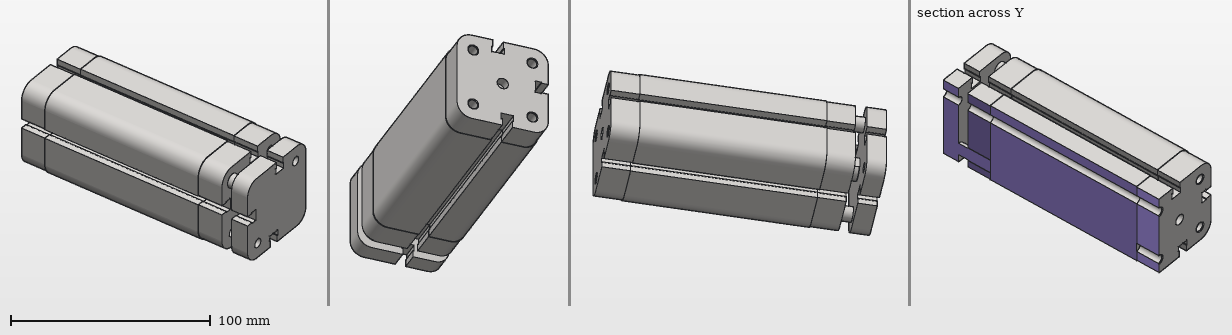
import cadquery as cq

TOTAL_LENGTH = 140.5
CAP_LENGTH = 14.6
PLATE_THICKNESS = 10.0
PLATE_GAP = 5.9

PLATE_X = TOTAL_LENGTH - PLATE_THICKNESS
FRONT_END_X = PLATE_X - PLATE_GAP
FRONT_CAP_X = FRONT_END_X - CAP_LENGTH
BARREL_LENGTH = FRONT_CAP_X - CAP_LENGTH

BARREL_SIDE = 50.0
CORNER_RADIUS = 8.0
END_INSET = 0.3
END_SIDE = BARREL_SIDE - 2 * END_INSET
PLATE_CORNER_RADIUS = 7.6

SLOT_OFFSET = 2.5
SLOT_MOUTH_WIDTH = 5.3
SLOT_INNER_WIDTH = 6.5
SLOT_LIP_DEPTH = 4.1
SLOT_DEPTH = 7.2
END_SLOT_CLEARANCE = 0.1
SLOT_TURNS = (0, 90, 180)

HOLE_SPACING = 32.0
HOLE_DIAMETER = 5.0
HOLE_CHAMFER = 0.4
CENTER_HOLE_DIAMETER = 6.0
CENTER_HOLE_DEPTH = 5.6
GUIDE_ROD_DIAMETER = 8.0
PISTON_ROD_DIAMETER = 12.0
FLAT_DISTANCE = 10.0
FLAT_START = 0.7
ROD_END_CHAMFER = 0.3

HALF_SPACING = HOLE_SPACING / 2
THROUGH_CORNERS = [(HALF_SPACING, HALF_SPACING), (-HALF_SPACING, -HALF_SPACING)]
ROD_CORNERS = [(-HALF_SPACING, HALF_SPACING), (HALF_SPACING, -HALF_SPACING)]
CENTER = [(0, 0)]


def cylinders(start_x, length, diameter, places):
    """Cylinders along +X, one at each (y, z) place."""
    plane = cq.Workplane("YZ", origin=(start_x, 0, 0))
    return plane.pushPoints(places).circle(diameter / 2).extrude(length)


def slot_cutter(clearance):
    """One T-slot in the +Z face, running the whole length."""
    face_z = BARREL_SIDE / 2
    lip_z = face_z - SLOT_LIP_DEPTH
    floor_z = face_z - SLOT_DEPTH - clearance
    mouth_width = SLOT_MOUTH_WIDTH + 2 * clearance
    inner_width = SLOT_INNER_WIDTH + 2 * clearance
    centered_in_y = (False, True, False)
    slot = cq.Workplane("XY", origin=(0, SLOT_OFFSET, floor_z))
    mouth = slot.box(TOTAL_LENGTH, mouth_width, face_z - floor_z, centered=centered_in_y)
    undercut = slot.box(TOTAL_LENGTH, inner_width, lip_z - floor_z, centered=centered_in_y)
    return mouth.union(undercut)


def slotted_block(start_x, length, side, corner_radius, slot_clearance):
    """A rounded square block with the three T-slots and the two through holes."""
    block = cq.Workplane("YZ", origin=(start_x, 0, 0)).rect(side, side).extrude(length)
    block = block.edges("|X").fillet(corner_radius)
    slot = slot_cutter(slot_clearance)
    for turn in SLOT_TURNS:
        block = block.cut(slot.rotate((0, 0, 0), (1, 0, 0), turn))
    return block.cut(cylinders(start_x, length, HOLE_DIAMETER, THROUGH_CORNERS))


def make_end_cap(start_x):
    """The block that both caps are made from."""
    return slotted_block(start_x, CAP_LENGTH, END_SIDE, CORNER_RADIUS, END_SLOT_CLEARANCE)


def make_rear_cap():
    """The rear cap, with four chamfered corner holes and a blind hole in the middle."""
    cap = make_end_cap(0)
    cap = cap.cut(cylinders(0, CAP_LENGTH, HOLE_DIAMETER, ROD_CORNERS))
    cap = cap.faces("<X").edges(cq.selectors.RadiusNthSelector(0)).chamfer(HOLE_CHAMFER)
    return cap.cut(cylinders(0, CENTER_HOLE_DEPTH, CENTER_HOLE_DIAMETER, CENTER))


def make_barrel():
    """The barrel between the two caps."""
    return slotted_block(CAP_LENGTH, BARREL_LENGTH, BARREL_SIDE, CORNER_RADIUS, 0)


def make_front_cap():
    """The front cap, bored for the piston rod and the guide rods."""
    cap = make_end_cap(FRONT_CAP_X)
    cap = cap.cut(cylinders(FRONT_CAP_X, CAP_LENGTH, PISTON_ROD_DIAMETER, CENTER))
    return cap.cut(cylinders(FRONT_CAP_X, CAP_LENGTH, GUIDE_ROD_DIAMETER, ROD_CORNERS))


def make_piston_rod():
    """The piston rod, with a chamfered outer end and a wrench flat on each Y side."""
    length = PLATE_X - FRONT_CAP_X
    rod = cylinders(FRONT_CAP_X, length, PISTON_ROD_DIAMETER, CENTER)
    rod = rod.faces(">X").chamfer(ROD_END_CHAMFER)
    flats_x = FRONT_END_X + FLAT_START
    flats_length = PLATE_X - flats_x
    plane = cq.Workplane("YZ", origin=(flats_x, 0, 0))
    around_rod = plane.rect(2 * PISTON_ROD_DIAMETER, PISTON_ROD_DIAMETER).extrude(flats_length)
    between_flats = plane.rect(FLAT_DISTANCE, PISTON_ROD_DIAMETER).extrude(flats_length)
    return rod.cut(around_rod.cut(between_flats))


def make_yoke():
    """The end plate together with its two guide rods."""
    plate = slotted_block(PLATE_X, PLATE_THICKNESS, END_SIDE, PLATE_CORNER_RADIUS, END_SLOT_CLEARANCE)
    guide_rods = cylinders(FRONT_CAP_X, PLATE_X - FRONT_CAP_X, GUIDE_ROD_DIAMETER, ROD_CORNERS)
    return plate.union(guide_rods)


rear_cap = make_rear_cap()
barrel = make_barrel()
front_cap = make_front_cap()
piston_rod = make_piston_rod()
yoke = make_yoke()

bodies = [rear_cap, barrel, front_cap, piston_rod, yoke]
result = cq.Compound.makeCompound([body.val() for body in bodies])